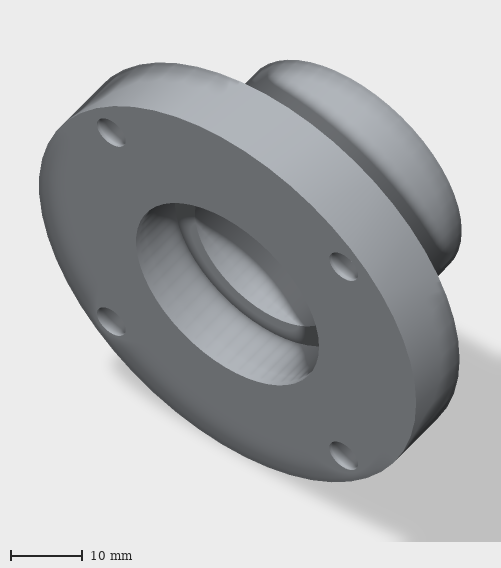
import cadquery as cq

flange_diameter = 66.0
flange_thickness = 10.0
hub_diameter = 38.0
total_length = 29.0

bore_diameter = 25.0
counterbore_diameter = 32.0
counterbore_depth = 9.0

bolt_hole_diameter = 5.0
bolt_hole_spacing = 40.65


def cylinder(diameter, length):
    """Cylinder along +Y, starting at the flange face."""
    return cq.Workplane("XZ").circle(diameter / 2).extrude(-length)


def bolt_holes():
    """Cutters for the bolt holes through the flange."""
    return (
        cq.Workplane("XZ")
        .rect(bolt_hole_spacing, bolt_hole_spacing, forConstruction=True)
        .vertices()
        .circle(bolt_hole_diameter / 2)
        .extrude(-flange_thickness)
    )


body = cylinder(flange_diameter, flange_thickness).union(cylinder(hub_diameter, total_length))
body = body.cut(cylinder(bore_diameter, total_length))
body = body.cut(cylinder(counterbore_diameter, counterbore_depth))
result = body.cut(bolt_holes())